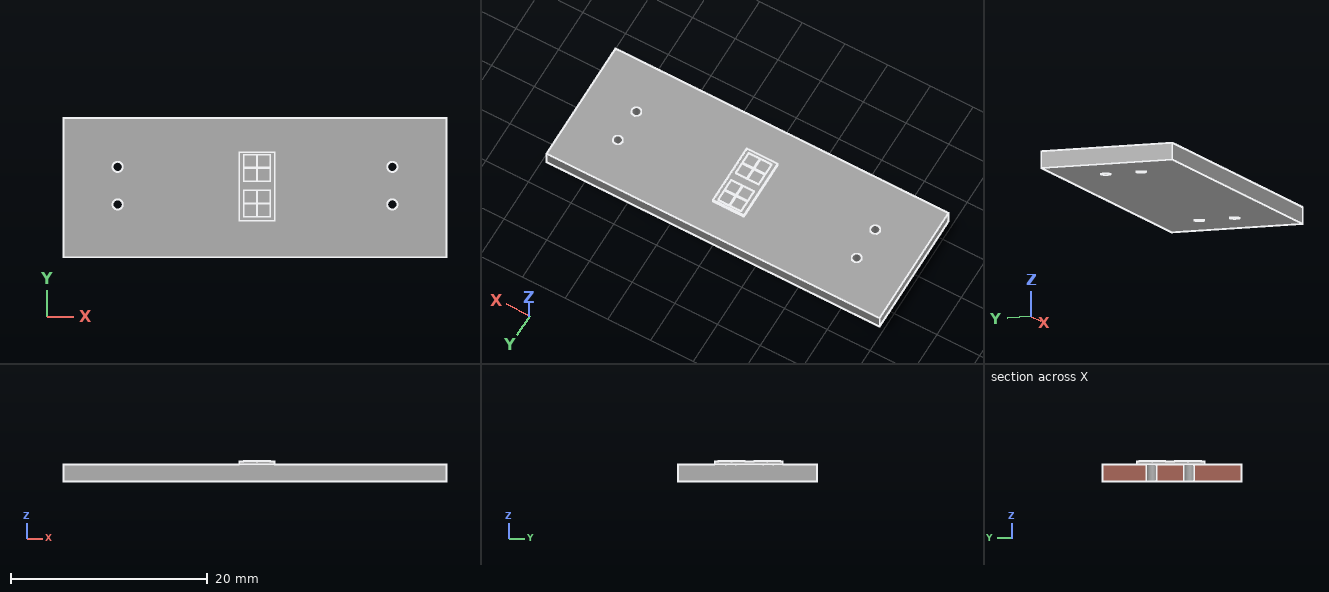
import cadquery as cq

board_length = 39.0
board_width = 14.2
board_thickness = 1.75

hole_diameter = 1.0
hole_spacing_x = 27.95
hole_spacing_y = 3.82
hole_center_y = 0.2

chip_length = 3.63
chip_width = 6.95
chip_center_x = 0.2
chip_center_y = 0.1

total_height = 2.15
pad_height = 0.08
pad_group_size = 2.7
pad_gap = 0.08
pad_group_pitch = 3.63
pad_groups_center_y = 0.2

chip_top = total_height - pad_height
chip_thickness = chip_top - board_thickness
pad_size = (pad_group_size - pad_gap) / 2
pad_pitch = pad_size + pad_gap


def make_board():
    """Flat rectangular board with four through holes."""
    board = cq.Workplane("XY").box(
        board_length, board_width, board_thickness, centered=(True, True, False)
    )
    holes = (
        cq.Workplane("XY")
        .center(0, hole_center_y)
        .rarray(hole_spacing_x, hole_spacing_y, 2, 2)
        .circle(hole_diameter / 2)
        .extrude(board_thickness)
    )
    return board.cut(holes)


def make_pad_group(center_y):
    """Four square pads standing on the chip, parted by a narrow cross-shaped gap."""
    return (
        cq.Workplane("XY", origin=(chip_center_x, center_y, chip_top))
        .rarray(pad_pitch, pad_pitch, 2, 2)
        .rect(pad_size, pad_size)
        .extrude(pad_height)
    )


def make_chip():
    """Rectangular chip on the board, in one piece with its raised pads."""
    chip = (
        cq.Workplane("XY", origin=(chip_center_x, chip_center_y, board_thickness))
        .rect(chip_length, chip_width)
        .extrude(chip_thickness)
    )
    for side in (-1, 1):
        chip = chip.union(make_pad_group(pad_groups_center_y + side * pad_group_pitch / 2))
    return chip


board = make_board()
chip = make_chip()
result = cq.Compound.makeCompound([board.val(), chip.val()])